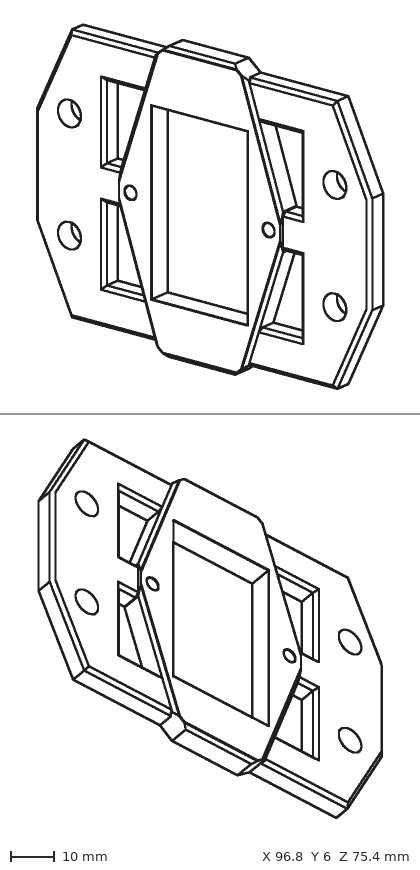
import cadquery as cq

width = 96.8
height = 75.4
thickness = 6.0
bevel = 1.0
edge_break = 0.1

plate_thickness = 5.0
plate_height = 69.8
plate_top_width = 76.7
plate_side_height = 27.1

band_width = 46.8
band_flat_height = 9.9
band_shoulder_width = 26.9
band_shoulder_height = 69.1
band_top_width = 19.1

opening_width = 56.6
opening_height = 49.8
cross_bar_height = 9.5

window_width = 27.7
window_height = 47.0
window_drop = 1.0

mount_hole_diameter = 6.6
mount_spacing_x = 76.7
mount_spacing_z = 29.6
screw_hole_diameter = 3.3
screw_spacing = 39.9


def prism(right_top_points, depth):
    """Extrude an outline, mirrored from its upper right quarter, from the back face towards -Y."""
    right_bottom = [(x, -z) for x, z in reversed(right_top_points)]
    right = right_top_points + right_bottom
    left = [(-x, z) for x, z in reversed(right)]
    return cq.Workplane("XZ").polyline(right + left).close().extrude(depth)


def rectangle(size_x, size_z, center_x=0, center_z=0):
    """Full-depth rectangular block starting at the back face."""
    return cq.Workplane("XZ").center(center_x, center_z).rect(size_x, size_z).extrude(thickness)


def make_openings():
    """Two openings, above and below the cross bar, bevelled at the plate's front face."""
    opening_size_z = (opening_height - cross_bar_height) / 2
    center_z = (opening_height + cross_bar_height) / 4
    openings = cq.Workplane("XZ")
    for z in (center_z, -center_z):
        flare = (
            cq.Workplane("XZ", origin=(0, -plate_thickness, z))
            .rect(opening_width + 2 * bevel, opening_size_z + 2 * bevel)
            .workplane(offset=-bevel)
            .rect(opening_width, opening_size_z)
            .loft(ruled=True)
        )
        openings = openings.add(rectangle(opening_width, opening_size_z, 0, z).union(flare))
    return openings.combine()


def make_plate():
    outline = [
        (plate_top_width / 2, plate_height / 2),
        (width / 2, plate_side_height / 2),
    ]
    plate = prism(outline, plate_thickness).faces("<Y").chamfer(bevel)
    return plate.cut(make_openings())


def make_band():
    """Bevelled six-sided block, whose corners are then clipped square to the front face."""
    flat = (band_width / 2, band_flat_height / 2)
    shoulder = (band_shoulder_width / 2, band_shoulder_height / 2)
    top = (band_top_width / 2, height / 2)

    slope = (flat[0] - shoulder[0]) / (shoulder[1] - flat[1])
    tip_x = flat[0] + slope * flat[1]
    corner_x = flat[0] - slope * (top[1] - flat[1])
    six_sided = (
        cq.Workplane("XZ")
        .polyline([
            (corner_x, top[1]), (tip_x, 0), (corner_x, -top[1]),
            (-corner_x, -top[1]), (-tip_x, 0), (-corner_x, top[1]),
        ])
        .close()
        .extrude(thickness)
        .faces("<Y")
        .chamfer(bevel)
    )
    return six_sided.intersect(prism([top, shoulder, flat], thickness))


def make_holes():
    mount_holes = (
        cq.Workplane("XZ")
        .rarray(mount_spacing_x, mount_spacing_z, 2, 2)
        .circle(mount_hole_diameter / 2)
        .extrude(thickness)
    )
    screw_holes = (
        cq.Workplane("XZ")
        .rarray(screw_spacing, 1, 2, 1)
        .circle(screw_hole_diameter / 2)
        .extrude(thickness)
    )
    return mount_holes.union(screw_holes)


window = rectangle(window_width, window_height, 0, -window_drop)
body = make_plate().union(make_band()).cut(window).cut(make_holes())
result = body.faces("<Y").chamfer(edge_break)